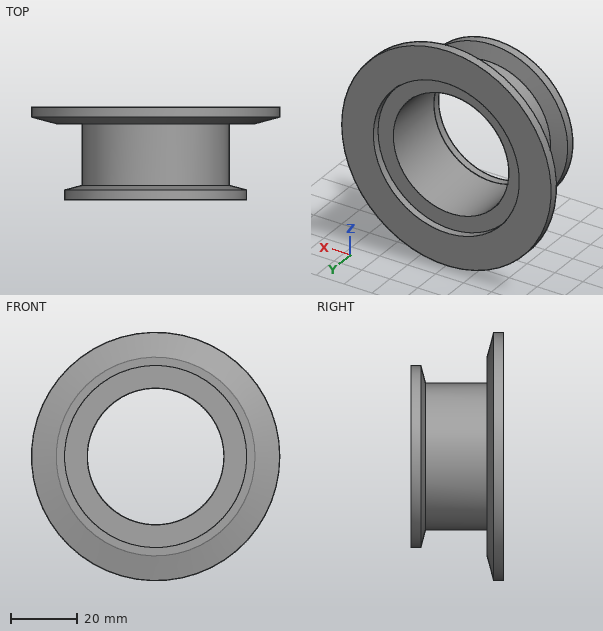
import cadquery as cq
import math

length = 28.0
tube_diameter = 44.5
cone_angle = math.radians(15)
rim_thickness = 3.0

small_flange_diameter = 55.0
large_flange_diameter = 75.0
large_face_diameter = 60.0

bore_diameter = 41.3
lip_diameter = 41.2
lip_length = 2.6
recess_diameter = 52.3
recess_depth = 2.6


def cone_length(outer_diameter, inner_diameter):
    """Axial length of a flange cone between two diameters."""
    return (outer_diameter - inner_diameter) / 2 * math.tan(cone_angle)


def cylinder(diameter, start, end):
    """Solid cylinder around the Y axis between two Y positions."""
    return cq.Workplane("XZ", origin=(0, start, 0)).circle(diameter / 2).extrude(start - end)


front = -length / 2
back = length / 2
small_rim_end = front + rim_thickness
small_cone_end = small_rim_end + cone_length(small_flange_diameter, tube_diameter)
large_rim_start = back - rim_thickness
large_cone_start = large_rim_start - cone_length(large_flange_diameter, large_face_diameter)

body = (
    cq.Workplane("XY")
    .moveTo(0, front)
    .lineTo(small_flange_diameter / 2, front)
    .lineTo(small_flange_diameter / 2, small_rim_end)
    .lineTo(tube_diameter / 2, small_cone_end)
    .lineTo(tube_diameter / 2, large_cone_start)
    .lineTo(large_face_diameter / 2, large_cone_start)
    .lineTo(large_flange_diameter / 2, large_rim_start)
    .lineTo(large_flange_diameter / 2, back)
    .lineTo(0, back)
    .close()
    .revolve(360, (0, 0, 0), (0, 1, 0))
)

lip_hole = cylinder(lip_diameter, front, front + lip_length)
bore = cylinder(bore_diameter, front + lip_length, back)
recess = cylinder(recess_diameter, back - recess_depth, back)

result = body.cut(lip_hole).cut(bore).cut(recess)